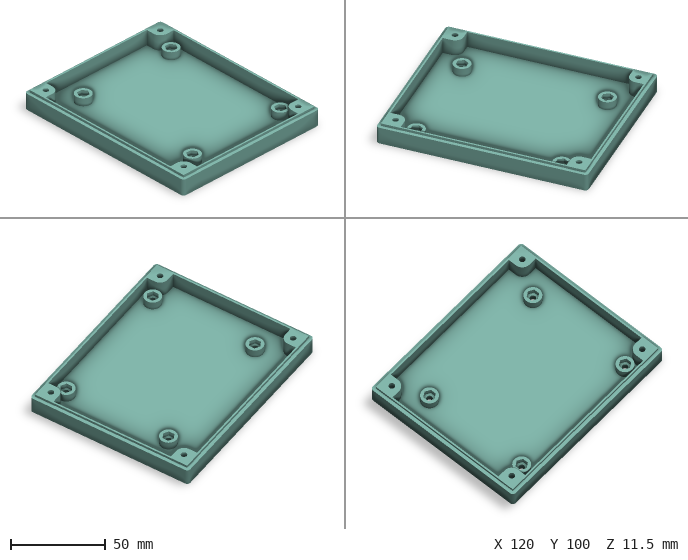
import cadquery as cq

LENGTH = 120.0
WIDTH = LENGTH * 5 / 6
HEIGHT = 11.5
LIP_HEIGHT = 1.5
LIP_INSET = LENGTH / 60
WALL = 1.5 * LIP_INSET
FLOOR = LIP_INSET
CORNER_RADIUS = LIP_INSET
RIM_HEIGHT = HEIGHT - LIP_HEIGHT
CAVITY_LENGTH = LENGTH - 2 * WALL
CAVITY_WIDTH = WIDTH - 2 * WALL

HOLE_DIAMETER = 3.5

BOSS_DIAMETER = 10.0
BOSS_TOP = 7.0
BOSS_SPACING_X = 82.5
BOSS_SPACING_Y = 64.5
BOSS_CENTER_Y = 7.2
NUT_ACROSS_FLATS = 6.0
NUT_POCKET_DEPTH = 3.0

POST_SIZE = BOSS_DIAMETER
POST_SPACING_X = CAVITY_LENGTH - POST_SIZE
POST_SPACING_Y = CAVITY_WIDTH - POST_SIZE


def rectangle_points(spacing_x, spacing_y, center_y=0.0):
    """Corners of a rectangle centred on the Y axis."""
    return [
        (side_x * spacing_x / 2, center_y + side_y * spacing_y / 2)
        for side_x in (-1, 1)
        for side_y in (-1, 1)
    ]


def at_height(height):
    return cq.Workplane("XY").workplane(offset=height)


def block(length, width, bottom, top):
    """Centred rectangular block between two heights."""
    return at_height(bottom).rect(length, width).extrude(top - bottom)


def cylinders(points, diameter, bottom, top):
    """Upright cylinders at the given points between two heights."""
    return at_height(bottom).pushPoints(points).circle(diameter / 2).extrude(top - bottom)


def make_tray():
    """Open tray: rounded outer wall, narrower square-cornered lip, rectangular cavity."""
    body = block(LENGTH, WIDTH, 0, RIM_HEIGHT).edges("|Z").fillet(CORNER_RADIUS)
    lip = block(LENGTH - 2 * LIP_INSET, WIDTH - 2 * LIP_INSET, RIM_HEIGHT, HEIGHT)
    cavity = block(CAVITY_LENGTH, CAVITY_WIDTH, FLOOR, HEIGHT)
    return body.union(lip).cut(cavity)


def make_post(x, y):
    """Post filling one cavity corner, rounded where it faces the middle of the tray."""
    inward_x = "<X" if x > 0 else ">X"
    inward_y = "<Y" if y > 0 else ">Y"
    post = block(POST_SIZE, POST_SIZE, FLOOR, HEIGHT)
    post = post.edges("|Z").edges(inward_x).edges(inward_y).fillet(POST_SIZE / 2)
    return post.translate((x, y, 0))


def make_nut_pockets(points):
    """Hexagonal pockets with two flats square to X."""
    return (
        at_height(BOSS_TOP)
        .pushPoints(points)
        .polygon(6, NUT_ACROSS_FLATS, circumscribed=True)
        .extrude(-NUT_POCKET_DEPTH)
    )


post_points = rectangle_points(POST_SPACING_X, POST_SPACING_Y)
boss_points = rectangle_points(BOSS_SPACING_X, BOSS_SPACING_Y, BOSS_CENTER_Y)

result = make_tray()
for post_x, post_y in post_points:
    result = result.union(make_post(post_x, post_y))
result = result.union(cylinders(boss_points, BOSS_DIAMETER, FLOOR, BOSS_TOP))
result = result.cut(make_nut_pockets(boss_points))
result = result.cut(cylinders(post_points + boss_points, HOLE_DIAMETER, 0, HEIGHT))